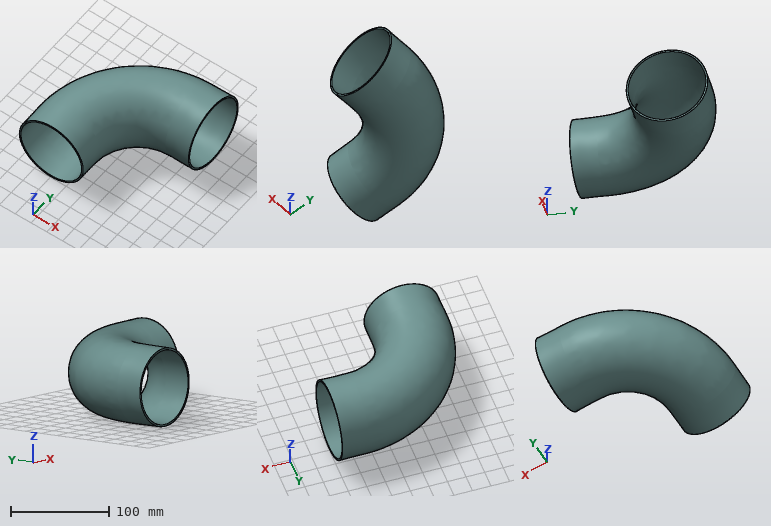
import cadquery as cq
import math

leg_length = 118.0
bend_radius = 89.0
small_end_diameter = 81.0
large_end_diameter = 85.0
wall = 2.0

straight_length = leg_length - bend_radius
bend_length = bend_radius * math.pi / 2
path_length = straight_length + bend_length + straight_length

small_end = (0, -leg_length)
bend_start = (0, -bend_radius)
bend_end = (bend_radius, 0)
bend_middle = (
    bend_radius * (1 - math.sqrt(0.5)),
    bend_radius * (math.sqrt(0.5) - 1),
)

small_end_radius = small_end_diameter / 2
large_end_radius = large_end_diameter / 2
taper = (large_end_radius - small_end_radius) / path_length
bend_start_radius = small_end_radius + taper * straight_length
bend_end_radius = large_end_radius - taper * straight_length


def section(center, direction, radius):
    """Circle of the given radius, square to the centre line at one station."""
    return cq.Wire.makeCircle(radius, cq.Vector(*center, 0), cq.Vector(*direction, 0))


def cone(start, direction, start_radius, end_radius):
    """Solid tapered straight length."""
    return cq.Workplane(
        cq.Solid.makeCone(
            start_radius,
            end_radius,
            straight_length,
            cq.Vector(*start, 0),
            cq.Vector(*direction, 0),
        )
    )


def tapered_bend(start_radius, end_radius):
    """Solid quarter bend that widens from its start to its end."""
    path = cq.Workplane("XY").moveTo(*bend_start).threePointArc(bend_middle, bend_end)
    start = section(bend_start, (0, 1), start_radius)
    end = section(bend_end, (1, 0), end_radius)
    return cq.Workplane(cq.Solid.sweep_multi([start, end], path.wire().val()))


def elbow(inset):
    """Solid elbow without a bore, whose surface lies the given distance inside the outer surface."""
    inlet = cone(small_end, (0, 1), small_end_radius - inset, bend_start_radius - inset)
    bend = tapered_bend(bend_start_radius - inset, bend_end_radius - inset)
    outlet = cone(bend_end, (1, 0), bend_end_radius - inset, large_end_radius - inset)
    return inlet.union(bend).union(outlet)


result = elbow(0).cut(elbow(wall))